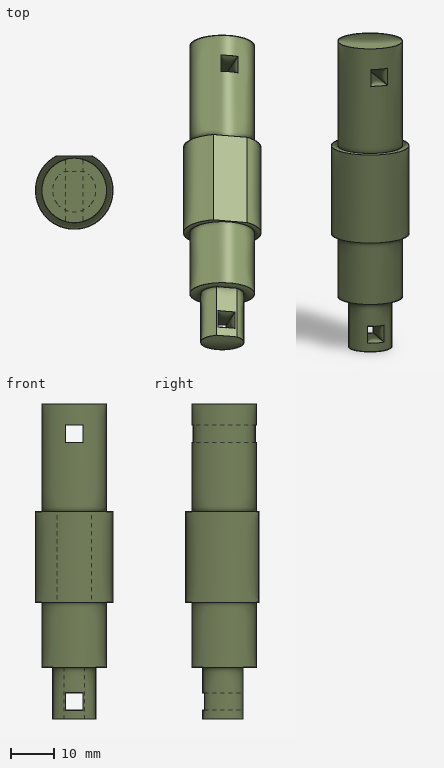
import cadquery as cq

total_length = 73.0
pin_length = 12.0
lower_journal_length = 15.05
collar_length = 21.0
upper_journal_length = total_length - pin_length - lower_journal_length - collar_length

pin_diameter = 10.0
journal_diameter = 15.0
collar_diameter = 17.95

collar_flat_offset = 8.0
pin_flat_offset = 4.4

window_size = 4.0
lower_window_height = 4.1
upper_window_height = total_length - 6.9


def round_section(bottom, diameter, length):
    """Cylinder along Z starting at the given height."""
    return cq.Workplane("XY").workplane(offset=bottom).circle(diameter / 2).extrude(length)


def flatted_section(bottom, diameter, length, flat_offset):
    """Cylinder along Z cut flat on its +Y side."""
    depth = diameter / 2 + flat_offset
    keep = (
        cq.Workplane("XY")
        .box(diameter, depth, length, centered=(True, False, False))
        .translate((0, -diameter / 2, bottom))
    )
    return round_section(bottom, diameter, length).intersect(keep)


def window(height):
    """Square bar along Y, centred on the axis at the given height."""
    return cq.Workplane("XY").box(window_size, collar_diameter, window_size).translate((0, 0, height))


lower_journal_bottom = pin_length
collar_bottom = lower_journal_bottom + lower_journal_length
upper_journal_bottom = collar_bottom + collar_length

shaft = flatted_section(0, pin_diameter, pin_length, pin_flat_offset)
shaft = shaft.union(round_section(lower_journal_bottom, journal_diameter, lower_journal_length))
shaft = shaft.union(flatted_section(collar_bottom, collar_diameter, collar_length, collar_flat_offset))
shaft = shaft.union(round_section(upper_journal_bottom, journal_diameter, upper_journal_length))

for window_height in (lower_window_height, upper_window_height):
    shaft = shaft.cut(window(window_height))

result = shaft